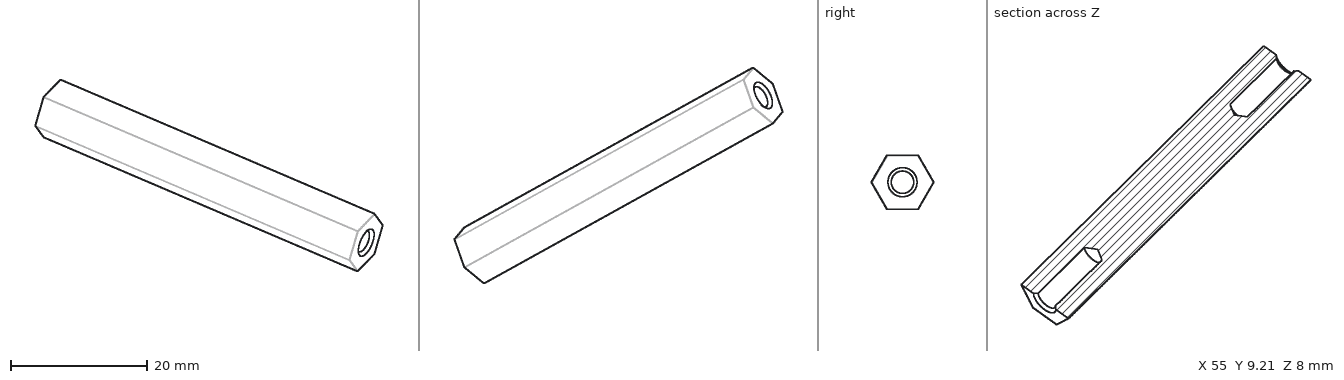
import cadquery as cq
import math

length = 55.0
across_flats = 8.0
across_corners = across_flats / math.cos(math.radians(30))
edge_radius = 0.1

hole_diameter = 3.3
hole_depth = 11.0
drill_point_angle = 118.0
countersink_diameter = 4.3

hole_radius = hole_diameter / 2
countersink_radius = countersink_diameter / 2
countersink_depth = countersink_radius - hole_radius
drill_point_depth = hole_radius / math.tan(math.radians(drill_point_angle / 2))


def end_hole():
    """Countersunk blind hole with a conical bottom, entering the -X end."""
    profile = (
        cq.Workplane("XY", origin=(-length / 2, 0, 0))
        .moveTo(0, 0)
        .lineTo(0, countersink_radius)
        .lineTo(countersink_depth, hole_radius)
        .lineTo(hole_depth, hole_radius)
        .lineTo(hole_depth + drill_point_depth, 0)
        .close()
    )
    return profile.revolve(360, (0, 0, 0), (1, 0, 0))


bar = cq.Workplane("YZ").polygon(6, across_corners).extrude(length / 2, both=True)
bar = bar.edges().fillet(edge_radius)

near_hole = end_hole()
far_hole = near_hole.mirror("YZ")
result = bar.cut(near_hole).cut(far_hole)